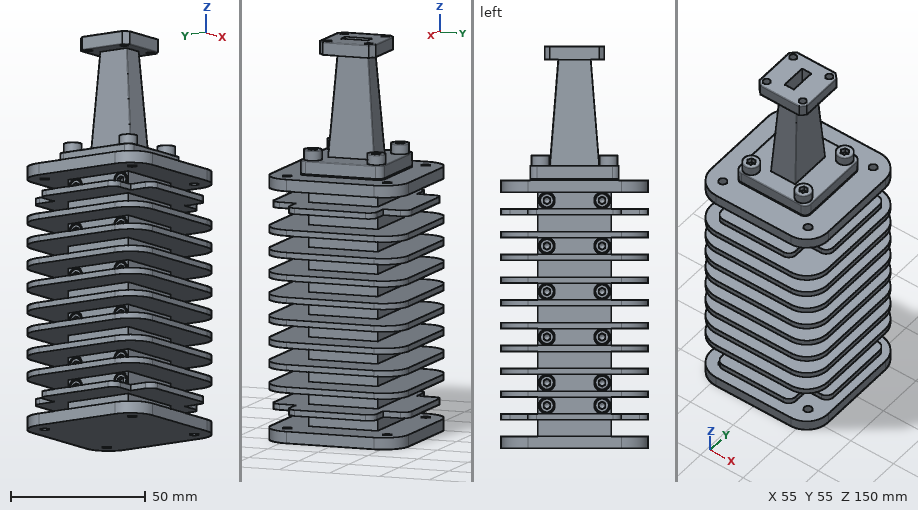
import cadquery as cq
import math

housing_height = 100.0
seat_height = 0.5
plate_thickness = 5.0
port_flange_thickness = 5.0
total_height = 150.0

housing_size = 55.0
housing_corner_radius = 10.0
end_flange_thickness = 4.5
column_size = 27.5
fin_count = 10
fin_thickness = 2.25
fin_pitch = 8.5
fin_stack_height = (fin_count - 1) * fin_pitch + fin_thickness
first_fin_z = (housing_height - fin_stack_height) / 2
first_gap_middle_z = first_fin_z + fin_thickness / 2 - fin_pitch / 2

notch_size = 10.0
lobe_tip_radius = 3.3

flange_hole_spacing = 40.0
flange_hole_diameter = 3.4

clamp_gaps = (1, 2, 4, 6, 8, 10)
clamp_spacing = 20.6
clamp_bore_diameter = 6.0
clamp_head_diameter = 5.0
clamp_bore_depth = 3.0
clamp_socket_width = 2.5
clamp_socket_depth = 1.5

plate_size = 33.2
plate_corner_radius = 2.6
port_flange_size = 22.3
port_flange_chamfer = 2.0
edge_fillet = 0.25
taper_bottom = (11.5, 18.5)
taper_top = (8.0, 12.2)
waveguide_opening = (4.3, 10.65)
port_hole_spacing = (17.0, 16.3)
port_hole_diameter = 3.0

screw_spacing = (24.5, 25.4)
screw_head_diameter = 6.8
screw_head_height = 3.8
screw_diameter = 4.0
screw_thread_depth = 3.0
screw_socket_width = 3.0
screw_head_fillet = 0.2
screw_socket_depth = 2.0

socket_cone_angle = 118.0
socket_spin = 30.0

plate_z = housing_height + seat_height
plate_top_z = plate_z + plate_thickness
port_flange_z = total_height - port_flange_thickness


def rounded_square(size, thickness, radius, z):
    slab = cq.Workplane("XY", origin=(0, 0, z)).rect(size, size).extrude(thickness)
    return slab.edges("|Z").fillet(radius)


def notched_fin(z):
    """Cross-shaped fin: a square with its corners removed and its lobe tips rounded."""
    corner_spacing = housing_size - notch_size
    fin = cq.Workplane("XY", origin=(0, 0, z)).rect(housing_size, housing_size).extrude(fin_thickness)
    notches = (
        cq.Workplane("XY", origin=(0, 0, z))
        .rect(corner_spacing, corner_spacing, forConstruction=True)
        .vertices()
        .rect(notch_size, notch_size)
        .extrude(fin_thickness)
    )
    fin = fin.cut(notches)
    outer_faces = fin.faces("<X or >X or <Y or >Y")
    return outer_faces.edges("|Z").fillet(lobe_tip_radius)


def hole_pattern(x_spacing, y_spacing, diameter, z, height):
    return (
        cq.Workplane("XY", origin=(0, 0, z))
        .rect(x_spacing, y_spacing, forConstruction=True)
        .vertices()
        .circle(diameter / 2)
        .extrude(height)
    )


def hex_socket(width, depth):
    """Hexagon socket hanging below the origin, ending in a drilled cone."""
    hexagon = cq.Workplane("XY").polygon(6, width, circumscribed=True).extrude(-depth)
    cone_depth = width / 2 / math.tan(math.radians(socket_cone_angle / 2))
    cone = cq.Solid.makeCone(width / 2, 0, cone_depth, pnt=cq.Vector(0, 0, -depth), dir=cq.Vector(0, 0, -1))
    return hexagon.union(cq.Workplane(cone)).rotate((0, 0, 0), (0, 0, 1), socket_spin)


def cut_clamp_screw(body, y, z):
    """Cut a ring groove around a flush screw head, with a hexagon socket in the head."""
    face = cq.Workplane("YZ", origin=(-column_size / 2, y, z))
    groove = face.circle(clamp_bore_diameter / 2).circle(clamp_head_diameter / 2).extrude(clamp_bore_depth)
    socket = hex_socket(clamp_socket_width, clamp_socket_depth)
    socket = socket.rotate((0, 0, 0), (0, 1, 0), -90).translate((-column_size / 2, y, z))
    return body.cut(groove).cut(socket)


def make_housing():
    body = cq.Workplane("XY").rect(column_size, column_size).extrude(housing_height)
    for z in (0, housing_height - end_flange_thickness):
        flange = rounded_square(housing_size, end_flange_thickness, housing_corner_radius, z)
        holes = hole_pattern(
            flange_hole_spacing, flange_hole_spacing, flange_hole_diameter, z, end_flange_thickness
        )
        body = body.union(flange.cut(holes))
    for index in range(fin_count):
        z = first_fin_z + index * fin_pitch
        if index in (0, fin_count - 1):
            fin = notched_fin(z)
        else:
            fin = rounded_square(housing_size, fin_thickness, housing_corner_radius, z)
        body = body.union(fin)
    for gap in clamp_gaps:
        z = first_gap_middle_z + gap * fin_pitch
        for y in (-clamp_spacing / 2, clamp_spacing / 2):
            body = cut_clamp_screw(body, y, z)
    body = body.union(rounded_square(plate_size, seat_height, plate_corner_radius, housing_height))
    thread_holes = hole_pattern(
        *screw_spacing, screw_diameter, plate_z - screw_thread_depth, screw_thread_depth
    )
    return body.cut(thread_holes)


def make_transition():
    plate = rounded_square(plate_size, plate_thickness, plate_corner_radius, plate_z)
    plate = plate.faces(">Z").edges().fillet(edge_fillet)
    plate = plate.cut(hole_pattern(*screw_spacing, screw_diameter, plate_z, plate_thickness))
    taper = (
        cq.Workplane("XY", origin=(0, 0, plate_top_z))
        .rect(*taper_bottom)
        .workplane(offset=port_flange_z - plate_top_z)
        .rect(*taper_top)
        .loft(ruled=True)
        .edges("not #Z")
        .fillet(edge_fillet)
    )
    port_flange = (
        cq.Workplane("XY", origin=(0, 0, port_flange_z))
        .rect(port_flange_size, port_flange_size)
        .extrude(port_flange_thickness)
        .edges("|Z")
        .chamfer(port_flange_chamfer)
        .faces("<Z or >Z")
        .edges()
        .fillet(edge_fillet)
    )
    port_flange = port_flange.cut(
        hole_pattern(*port_hole_spacing, port_hole_diameter, port_flange_z, port_flange_thickness)
    )
    waveguide = (
        cq.Workplane("XY", origin=(0, 0, plate_z))
        .rect(*waveguide_opening)
        .extrude(total_height - plate_z)
    )
    return plate.union(taper).union(port_flange).cut(waveguide)


def make_plate_screw(x, y):
    seat = cq.Workplane("XY", origin=(x, y, plate_top_z))
    head = seat.circle(screw_head_diameter / 2).extrude(screw_head_height)
    head = head.faces(">Z").edges().fillet(screw_head_fillet)
    shank = seat.circle(screw_diameter / 2).extrude(-(plate_thickness + screw_thread_depth))
    socket = hex_socket(screw_socket_width, screw_socket_depth)
    socket = socket.translate((x, y, plate_top_z + screw_head_height))
    return head.union(shank).cut(socket)


housing = make_housing()
transition = make_transition()
plate_screws = [
    make_plate_screw(x_side * screw_spacing[0] / 2, y_side * screw_spacing[1] / 2)
    for x_side in (-1, 1)
    for y_side in (-1, 1)
]

result = cq.Compound.makeCompound(
    [housing.val(), transition.val(), *[screw.val() for screw in plate_screws]]
)